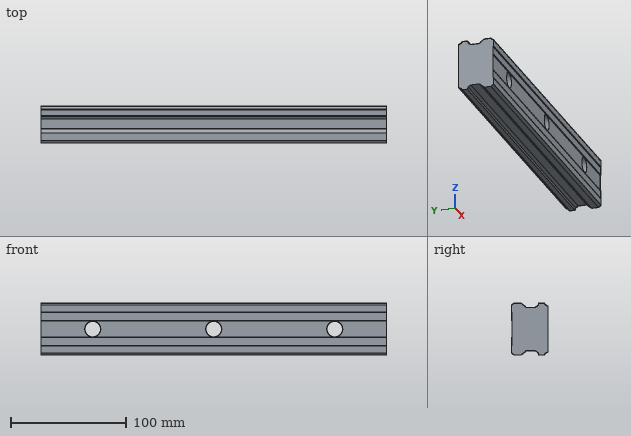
import cadquery as cq

length = 300.0
depth = 32.0
height = 45.0
half_depth = depth / 2
half_height = height / 2

back_bevel_depth = 2.7
back_crest_run = 0.5
back_crest_rise = 1.2
back_bevel_height = 2.7
front_bevel_depth = 2.5
front_bevel_height = 1.8

groove_back_lip = 7.8
groove_back_step = 7.2
groove_floor_back = 4.8
groove_floor_front = -3.3
groove_front_step = -4.0
groove_front_lip = -7.5
groove_back_step_drop = 1.8
groove_front_step_drop = 2.7
groove_floor_drop = 3.5

band_width = 29.7
strip_width = 15.0
step_depth = 0.3
step_run = 0.5

hole_diameter = 13.5
hole_spacing = 105.0
hole_count = 3


def upper_outline():
    """Points (Y, Z) of the upper half section, from the front centre to the back."""
    front = -half_depth
    band = front + step_depth
    strip = band + step_depth
    back_bevel_end = half_depth - back_bevel_depth
    return [
        (strip, strip_width / 2 - step_run),
        (band, strip_width / 2),
        (band, band_width / 2 - step_run),
        (front, band_width / 2),
        (front, half_height - front_bevel_height),
        (front + front_bevel_depth, half_height),
        (groove_front_lip, half_height),
        (groove_front_step, half_height - groove_front_step_drop),
        (groove_floor_front, half_height - groove_floor_drop),
        (groove_floor_back, half_height - groove_floor_drop),
        (groove_back_step, half_height - groove_back_step_drop),
        (groove_back_lip, half_height),
        (back_bevel_end - back_crest_run, half_height),
        (back_bevel_end, half_height - back_crest_rise),
        (half_depth, half_height - back_bevel_height),
    ]


def rail_body():
    """Extrude the section, which is symmetric about the horizontal mid-plane."""
    upper = upper_outline()
    lower = [(y, -z) for y, z in reversed(upper)]
    section = cq.Workplane("YZ").polyline(upper + lower).close()
    return section.extrude(length / 2, both=True)


def mounting_holes():
    """Row of cylinders along X that pass right through the depth."""
    return (
        cq.Workplane("XZ")
        .rarray(hole_spacing, 3, hole_count, 1)
        .circle(hole_diameter / 2)
        .extrude(depth, both=True)
    )


result = rail_body().cut(mounting_holes())